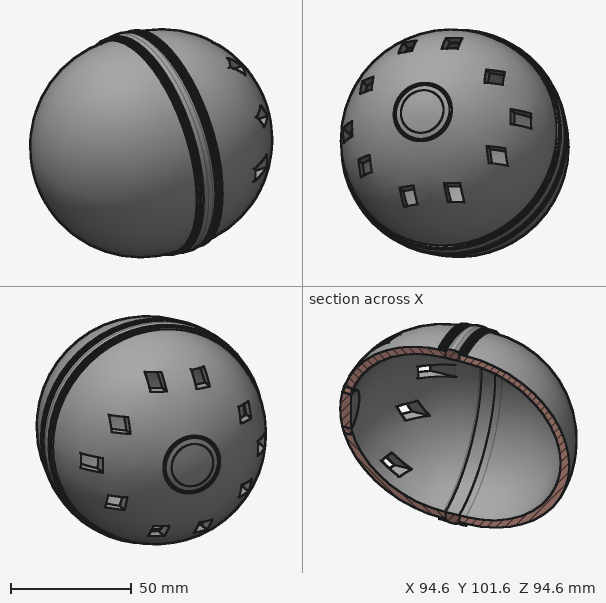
import cadquery as cq
import math

outer_radius = 91.6 / 2
inner_radius = 83.6 / 2
front_pole = -51.8
back_pole = 49.8
front_center = front_pole + outer_radius
back_center = back_pole - outer_radius

belt_radius = 94.6 / 2
belt_width = 6.1
belt_fillet = 2.0
belt_half = belt_width / 2

ring_radius = 93.5 / 2
ring_width = 1.0
ring_pitch = 1.9

lens_radius = 12.5
disc_radius = 9.1
lens_back = 44.7
groove_inner_radius = 11.6
groove_floor = 47.9

window_size = 6.4
window_centers = [
    (-37.1, -0.8),
    (-27.5, 16.0),
    (-8.7, 32.5),
    (10.6, 32.7),
    (27.3, 16.8),
    (37.3, -0.8),
    (28.4, -17.4),
    (9.8, -31.8),
    (-9.8, -31.8),
    (-28.2, -17.4),
]


def disc(radius, y_start, y_end):
    """Solid cylinder along Y between two Y positions."""
    return cq.Workplane("XZ", origin=(0, y_start, 0)).circle(radius).extrude(y_start - y_end)


def dome(radius, center_y, side):
    """Solid half-ball with a straight skirt down to the belt; side is +1 for back, -1 for front."""
    skirt_y = side * belt_half
    diagonal = radius * math.sqrt(0.5)
    return (
        cq.Workplane("XY")
        .moveTo(0, skirt_y)
        .lineTo(radius, skirt_y)
        .lineTo(radius, center_y)
        .threePointArc((diagonal, center_y + side * diagonal), (0, center_y + side * radius))
        .close()
        .revolve(360, (0, 0, 0), (0, 1, 0))
    )


def make_belt():
    """Rounded hoop with the same bore as the shells."""
    hoop = disc(belt_radius, -belt_half, belt_half).edges().fillet(belt_fillet)
    return hoop.cut(disc(inner_radius, -belt_half, belt_half))


def make_ring(start, side, seat):
    """Thin ring starting at a distance from the belt centre, seated on a dome."""
    return disc(ring_radius, side * start, side * (start + ring_width)).cut(seat)


front_dome = dome(outer_radius, front_center, -1)
back_dome = dome(outer_radius, back_center, 1)

front_shell = front_dome.cut(dome(inner_radius, front_center, -1))
window_cutters = (
    cq.Workplane("XZ")
    .pushPoints(window_centers)
    .rect(window_size, window_size)
    .extrude(-back_pole)
)
back_shell = (
    back_dome.cut(dome(inner_radius, back_center, 1))
    .cut(window_cutters)
    .cut(disc(lens_radius, lens_back, back_pole))
)
belt = make_belt()

lens = back_dome.intersect(disc(lens_radius, lens_back, back_pole))
disc_core = disc(disc_radius, lens_back, back_pole)
rim_groove = disc(lens_radius, groove_floor, back_pole).cut(
    disc(groove_inner_radius, groove_floor, back_pole)
)
lens_collar = lens.cut(disc_core).cut(rim_groove)
lens_disc = lens.intersect(disc_core)

rings = []
for side, seat in ((-1, front_dome), (1, back_dome)):
    for index in range(2):
        rings.append(make_ring(belt_half + index * ring_pitch, side, seat).val())

result = cq.Compound.makeCompound(
    [front_shell.val(), back_shell.val(), belt.val(), lens_collar.val(), lens_disc.val(), *rings]
)